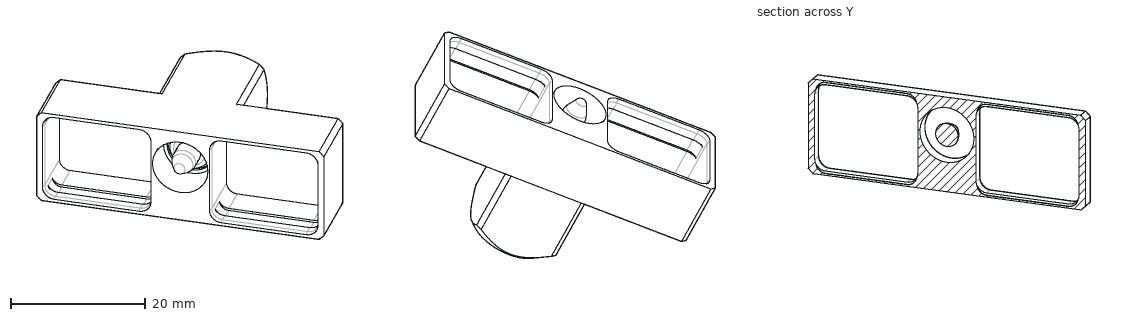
import cadquery as cq
import math


full_turn = 360

bar_width = 44.45
bar_height = 15.04
bar_depth = 10.4
edge_chamfer = 0.75
bar_top = 6.02
bar_bottom = bar_top - bar_height
bar_middle = (bar_top + bar_bottom) / 2

stem_width = 13.0
stem_length = 14.8
stem_bottom = -stem_width / 2
stem_end_radius = 6.0
stem_end_angle = 45.0

pocket_width = 16.43
pocket_height = 13.64
pocket_depth = 8.7
pocket_corner = 1.65
pocket_center_x = 12.92
lead_in_depth = 0.65
lead_in_angle = 15.0

groove_start = 1.9
groove_width = 2.27
groove_depth = 0.35
groove_side_inset = 0.15
groove_corner = 1.5

hole_radius = 4.28
hole_depth = 6.0
step_radius = 3.72
step_depth = 0.5
hole_floor = hole_depth + step_depth

pin_projection = 1.0
tip_circle_radius = 0.87
tip_angle = 25.0
tip_cone_radius = 1.63
shoulder_angle = 16.0
shank_radius = 1.84
collar_radius = 2.48
collar_angle = 45.0
collar_start = 4.5
base_radius = 3.16
base_angle = 60.0


def block(width, front, depth, bottom, top, center_x=0.0):
    """Box between the given Y and Z limits, centred on center_x."""
    return cq.Workplane("XY").box(width, depth, top - bottom).translate(
        (center_x, front + depth / 2, (bottom + top) / 2)
    )


def turned(points):
    """Solid of revolution about the Y axis from (radius, y) points."""
    return cq.Workplane("XY").polyline(points).close().revolve(full_turn, (0, 0), (0, 1))


def make_bar():
    """Crossbar with its four Y edges chamfered."""
    bar = block(bar_width, 0, bar_depth, bar_bottom, bar_top)
    return bar.edges("|Y").chamfer(edge_chamfer)


def make_stem():
    """Chamfered square stem whose free end is turned to a cone."""
    end = bar_depth + stem_length
    stem = block(stem_width, 0, end, stem_bottom, bar_top)
    stem = stem.edges("|Y").chamfer(edge_chamfer)
    outer_radius = stem_width
    cone_start = end - (outer_radius - stem_end_radius) / math.tan(math.radians(stem_end_angle))
    envelope = turned(
        [(0, 0), (outer_radius, 0), (outer_radius, cone_start), (stem_end_radius, end), (0, end)]
    )
    return stem.intersect(envelope)


def rounded_block(width, height, corner, front, depth, center_x, flare=0.0):
    """Block with rounded Y edges, centred on the bar height; a flare widens it towards the front."""
    outline = cq.Sketch().rect(width, height).vertices().fillet(corner)
    back = cq.Workplane("XZ", origin=(center_x, front + depth, bar_middle))
    return back.placeSketch(outline).extrude(depth, taper=-flare)


def make_pocket(center_x):
    """Rounded pocket with a flared mouth and a shallow groove across its top and bottom walls."""
    cavity = rounded_block(pocket_width, pocket_height, pocket_corner, 0, pocket_depth, center_x)
    lead_in = rounded_block(
        pocket_width, pocket_height, pocket_corner, 0, lead_in_depth, center_x, lead_in_angle
    )
    groove = rounded_block(
        pocket_width - 2 * groove_side_inset,
        pocket_height + 2 * groove_depth,
        groove_corner,
        groove_start,
        groove_width,
        center_x,
    )
    return cavity.union(lead_in).union(groove)


def make_hole():
    """Round hole with a narrower step at its floor."""
    return turned(
        [
            (0, 0),
            (hole_radius, 0),
            (hole_radius, hole_depth),
            (step_radius, hole_depth),
            (step_radius, hole_floor),
            (0, hole_floor),
        ]
    )


def run_length(inner, outer, angle):
    """Length along the axis of a cone that widens from inner to outer radius at the given half angle."""
    return (outer - inner) / math.tan(math.radians(angle))


def make_pin():
    """Pin with a round tip on a stack of cones that widen towards the hole floor."""
    tilt = math.radians(tip_angle)
    ball = tip_circle_radius / math.cos(tilt)
    ball_y = ball - pin_projection
    tangent_y = ball_y - ball * math.sin(tilt)
    arc_middle = math.radians((90 + tip_angle) / 2)
    arc_point = (ball * math.cos(arc_middle), ball_y - ball * math.sin(arc_middle))
    cone_end = tangent_y + run_length(tip_circle_radius, tip_cone_radius, tip_angle)
    shoulder_end = cone_end + run_length(tip_cone_radius, shank_radius, shoulder_angle)
    collar_end = collar_start + run_length(shank_radius, collar_radius, collar_angle)
    base_end = collar_end + run_length(collar_radius, base_radius, base_angle)
    profile = (
        cq.Workplane("XY")
        .moveTo(0, -pin_projection)
        .threePointArc(arc_point, (tip_circle_radius, tangent_y))
        .lineTo(tip_cone_radius, cone_end)
        .lineTo(shank_radius, shoulder_end)
        .lineTo(shank_radius, collar_start)
        .lineTo(collar_radius, collar_end)
        .lineTo(base_radius, base_end)
        .lineTo(base_radius, hole_floor)
        .lineTo(0, hole_floor)
        .close()
    )
    return profile.revolve(full_turn, (0, 0), (0, 1))


result = make_bar().union(make_stem())
for side in (-1, 1):
    result = result.cut(make_pocket(side * pocket_center_x))
result = result.cut(make_hole()).union(make_pin())